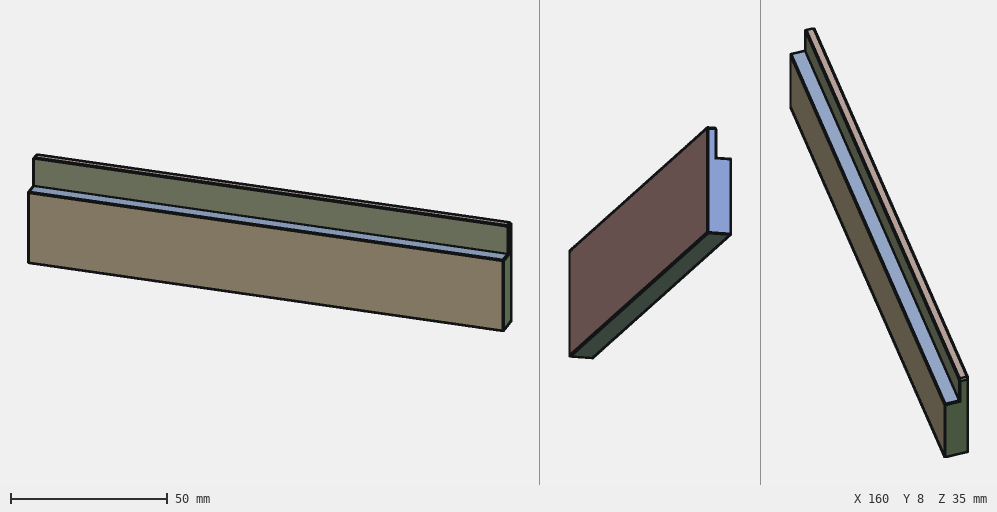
import cadquery as cq

length = 160.0
depth = 8.0
height = 35.0

lip_thickness = 3.0
lip_height = 10.0

lip_end_bevel = 0.6
edge_bevel = 0.3

ledge_y = depth - lip_thickness
ledge_z = height - lip_height


def stepped_bar():
    """Sharp-edged bar with an L-shaped section extruded along X."""
    section = [
        (0, 0),
        (depth, 0),
        (depth, height),
        (ledge_y, height),
        (ledge_y, ledge_z),
        (0, ledge_z),
    ]
    return cq.Workplane("YZ").polyline(section).close().extrude(length / 2, both=True)


def box_selector(centre, size):
    """Selector for edges whose centres lie in a box of the given size."""
    low = tuple(c - s / 2 for c, s in zip(centre, size))
    high = tuple(c + s / 2 for c, s in zip(centre, size))
    return cq.selectors.BoxSelector(low, high)


def bevel_edges(bar):
    """Bevel the lip's top ends, then every outer edge but the inner corner of the step."""
    bar = bar.faces(">Z").edges("|Y").chamfer(lip_end_bevel)

    kept = box_selector((0, ledge_y, ledge_z), (edge_bevel, edge_bevel, edge_bevel))
    lip_middle_y = ledge_y + lip_thickness / 2
    reach = 3 * lip_end_bevel
    for side in (-1, 1):
        lip_end = (side * length / 2, lip_middle_y, height)
        kept = kept + box_selector(lip_end, (reach, edge_bevel, reach))
    return bar.edges(-kept).chamfer(edge_bevel)


result = bevel_edges(stepped_bar())